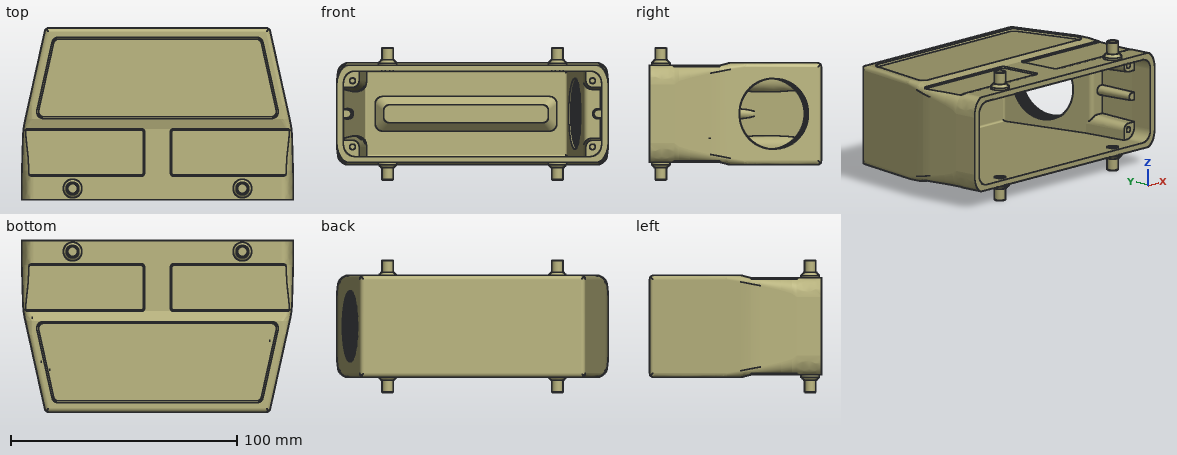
import cadquery as cq
import math

depth = 76.0
half_width = 60.0
rear_half_height = 22.6
front_half_height = 21.45
wall_side = 3.0
wall_height = 2.55
wall_rear = 3.0

straight_end = 11.0
bend_start = 27.0
bend_end = 35.6
lean_angle = 12.5
bend_start_half_width = 59.55
bend_end_half_width = 58.45
lean_slope = math.tan(math.radians(lean_angle))
bend_bulge = (bend_end - bend_start) * lean_slope / 8
rear_half_width = bend_end_half_width - (depth - bend_end) * lean_slope

step_start = 31.2
step_end = bend_end

rear_rounding = 2.0
corner_width = 5.2
corner_height = 8.5
corner_stations = [
    (straight_end, corner_width, corner_height),
    (13.0, 5.1, 7.0),
    (18.0, 4.9, 5.5),
    (bend_start, 3.3, 3.5),
    (step_start, 2.3, 2.7),
    (step_end, 4.0, 3.0),
    (41.8, rear_rounding, rear_rounding),
]
corner_arc_angles = (0, 22.5, 45, 67.5, 90)

cavity_half_width = half_width - wall_side
cavity_half_height = front_half_height - wall_height
cavity_depth = depth - wall_rear
cavity_corner = 5.2
floor_fillet = 0.9
cavity_left_rear = 47.4
cavity_right_rear = 41.7
cavity_left_bend = 29.0
shelf_y = 28.0
shelf_x = 49.5
shelf_rounding = 2.0
wall_narrowing = 0.6

bar_center_x = (cavity_right_rear - cavity_left_rear) / 2
bar_length = 80.2
bar_width = 15.3
bar_height = 4.0
bar_slope_width = 3.7
bar_corner = 3.2
bar_top_corner = 2.5

post_front = 9.5
post_x = 53.0
post_z = 14.6
post_radius = 2.9
post_draft = 3.0
rib_draft = 1.5
screw_hole_diameter = 2.5
screw_hole_depth = 12.0
rib_tip_x = 53.6
rib_half_height = 1.7

pin_x = 37.5
pin_y = 5.0
pin_radius = 2.55
pin_tip_z = 29.25
pin_chamfer = 0.4
collar_radius = 4.1
collar_rim_z = 22.4
collar_top_z = 23.8
collar_top_radius = 2.8
rivet_recess_depth = 0.5
rivet_inner_radius = 1.0

recess_wall_angle = 45.0
label_depth = 0.8
label_front = 35.9
label_rear = 71.8
label_margin = 4.3
label_corner = 3.0
grip_depth = 0.6
grip_inner_x = 5.7
grip_front = 10.4
grip_rear = 31.4
grip_corner = 1.5

entry_y = 55.0
entry_bore_radius = 15.6
entry_thread_radius = 16.3
thread_pitch = 1.5
thread_count = 5
entry_reach = 14.0

overlap = 1.0
corner_clearance = 6.0


def outer_half_width(y):
    """Half width of the outer side wall at depth y."""
    if y <= straight_end:
        return half_width
    if y <= bend_start:
        share = (y - straight_end) / (bend_start - straight_end)
        return half_width + share * (bend_start_half_width - half_width)
    if y < bend_end:
        share = (y - bend_start) / (bend_end - bend_start)
        chord = bend_start_half_width + share * (bend_end_half_width - bend_start_half_width)
        return chord + 4 * bend_bulge * share * (1 - share)
    return bend_end_half_width - (y - bend_end) * lean_slope


def outer_half_height(y):
    """Half height of the outer wall at depth y."""
    return front_half_height if y <= step_start else rear_half_height


def both_faces(solid):
    """The solid together with its mirror image below Z = 0."""
    return solid.union(solid.mirror("XY"))


def plan_outline():
    bend_mid_y = (bend_start + bend_end) / 2
    bend_mid = outer_half_width(bend_mid_y)
    return (
        cq.Workplane("XY")
        .moveTo(-half_width, 0)
        .lineTo(half_width, 0)
        .lineTo(half_width, straight_end)
        .lineTo(bend_start_half_width, bend_start)
        .threePointArc((bend_mid, bend_mid_y), (bend_end_half_width, bend_end))
        .lineTo(rear_half_width, depth)
        .lineTo(-rear_half_width, depth)
        .lineTo(-bend_end_half_width, bend_end)
        .threePointArc((-bend_mid, bend_mid_y), (-bend_start_half_width, bend_start))
        .lineTo(-half_width, straight_end)
        .close()
    )


def corner_section(y, width, height):
    """Closed wire around the space outside one rounded corner at depth y."""
    edge_x = outer_half_width(y)
    edge_z = outer_half_height(y)
    center_x = edge_x - width
    center_z = edge_z - height
    arc_points = []
    for degrees in corner_arc_angles:
        angle = math.radians(degrees)
        arc_points.append(
            cq.Vector(center_x + width * math.cos(angle), y, center_z + height * math.sin(angle))
        )
    arc = cq.Edge.makeSpline(arc_points, tangents=[cq.Vector(0, 0, 1), cq.Vector(-1, 0, 0)])
    outside_x = edge_x + corner_clearance
    outside_z = edge_z + corner_clearance
    loop = [
        cq.Vector(center_x, y, edge_z),
        cq.Vector(center_x, y, outside_z),
        cq.Vector(outside_x, y, outside_z),
        cq.Vector(outside_x, y, center_z),
        cq.Vector(edge_x, y, center_z),
    ]
    lines = [cq.Edge.makeLine(start, end) for start, end in zip(loop, loop[1:])]
    return cq.Wire.assembleEdges([arc] + lines)


def corner_cutter():
    """Everything outside one long rounded corner, from the opening to beyond the closed end."""
    first = (-overlap, corner_width, corner_height)
    last = (depth + overlap, rear_rounding, rear_rounding)
    sections = [corner_section(*station) for station in [first] + corner_stations + [last]]
    return cq.Workplane(cq.Solid.makeLoft(sections, True))


def outer_body():
    body = plan_outline().extrude(rear_half_height, both=True)
    side_profile = (
        cq.Workplane("YZ")
        .moveTo(0, 0)
        .lineTo(0, front_half_height)
        .lineTo(step_start, front_half_height)
        .lineTo(step_end, rear_half_height)
        .lineTo(depth, rear_half_height)
        .lineTo(depth, 0)
        .close()
        .extrude(half_width, both=True)
    )
    body = body.intersect(both_faces(side_profile))
    body = body.faces(">Y").edges().fillet(rear_rounding)
    corner = both_faces(corner_cutter())
    return body.cut(corner).cut(corner.mirror("YZ"))


def cavity():
    plan = (
        cq.Workplane("XY")
        .moveTo(-cavity_half_width, 0)
        .lineTo(cavity_half_width, 0)
        .lineTo(cavity_half_width, straight_end)
        .lineTo(cavity_half_width - wall_narrowing, shelf_y)
        .lineTo(shelf_x, shelf_y)
        .lineTo(cavity_right_rear, cavity_depth)
        .lineTo(-cavity_left_rear, cavity_depth)
        .lineTo(-cavity_half_width + wall_narrowing, cavity_left_bend)
        .lineTo(-cavity_half_width, straight_end)
        .close()
        .extrude(cavity_half_height, both=True)
        .edges(cq.selectors.NearestToPointSelector((shelf_x, shelf_y, 0)))
        .fillet(shelf_rounding)
        .faces(">Y")
        .edges()
        .fillet(floor_fillet)
    )
    envelope = (
        cq.Workplane("XZ")
        .rect(2 * cavity_half_width, 2 * cavity_half_height)
        .extrude(-depth)
        .edges("|Y")
        .fillet(cavity_corner)
    )
    return plan.intersect(envelope)


def floor_bar():
    base = cq.Sketch().rect(bar_length, bar_width).vertices().fillet(bar_corner)
    top_length = bar_length - 2 * bar_slope_width
    top_width = bar_width - 2 * bar_slope_width
    top = cq.Sketch().rect(top_length, top_width).vertices().fillet(bar_top_corner)
    top = top.moved(cq.Location(cq.Vector(0, 0, bar_height)))
    plane = cq.Workplane("XZ", origin=(bar_center_x, cavity_depth, 0))
    return plane.placeSketch(base, top).loft()


def posts_and_ribs():
    length = depth - post_front
    inner = post_x - post_radius
    low = post_z - post_radius
    post = (
        cq.Workplane("XZ", origin=(0, post_front, 0))
        .moveTo(inner, cavity_half_height + overlap)
        .lineTo(inner, post_z)
        .radiusArc((post_x, low), -post_radius)
        .lineTo(half_width - overlap, low)
        .lineTo(half_width - overlap, cavity_half_height + overlap)
        .close()
        .extrude(-length, taper=-post_draft)
    )
    rib_straight = rib_tip_x + rib_half_height
    rib = (
        cq.Workplane("XZ", origin=(0, post_front, 0))
        .moveTo(half_width - overlap, -rib_half_height)
        .lineTo(rib_straight, -rib_half_height)
        .threePointArc((rib_tip_x, 0), (rib_straight, rib_half_height))
        .lineTo(half_width - overlap, rib_half_height)
        .close()
        .extrude(-length, taper=-rib_draft)
    )
    one_side = both_faces(post).union(rib)
    return one_side.union(one_side.mirror("YZ"))


def screw_holes():
    return (
        cq.Workplane("XZ", origin=(0, post_front, 0))
        .rect(2 * post_x, 2 * post_z, forConstruction=True)
        .vertices()
        .circle(screw_hole_diameter / 2)
        .extrude(-screw_hole_depth)
    )


def locking_pin(x):
    pin = (
        cq.Workplane("XZ")
        .moveTo(0, cavity_half_height + overlap)
        .lineTo(collar_radius, cavity_half_height + overlap)
        .lineTo(collar_radius, collar_rim_z)
        .lineTo(collar_top_radius, collar_top_z)
        .lineTo(pin_radius, collar_top_z)
        .lineTo(pin_radius, pin_tip_z - pin_chamfer)
        .lineTo(pin_radius - pin_chamfer, pin_tip_z)
        .lineTo(0, pin_tip_z)
        .close()
        .revolve(360, (0, 0, 0), (0, 1, 0))
    )
    return both_faces(pin.translate((x, pin_y, 0)))


def rivet_recess(x):
    ring = (
        cq.Workplane("XY", origin=(x, pin_y, cavity_half_height))
        .circle(pin_radius)
        .circle(rivet_inner_radius)
        .extrude(rivet_recess_depth)
    )
    return both_faces(ring)


def recess(outline_points, corner, top_z, recess_depth):
    """Tool for a panel recess sunk below top_z, with sloping side walls."""
    sketch = cq.Workplane("XY", origin=(0, 0, top_z)).polyline(outline_points).close()
    prism = sketch.extrude(-recess_depth).edges("|Z").fillet(corner)
    outline = prism.faces(">Z").wires().toPending()
    return outline.extrude(-recess_depth, combine=False, taper=recess_wall_angle)


def label_recess():
    front_x = outer_half_width(label_front) - label_margin
    rear_x = outer_half_width(label_rear) - label_margin
    points = [
        (-front_x, label_front),
        (front_x, label_front),
        (rear_x, label_rear),
        (-rear_x, label_rear),
    ]
    return both_faces(recess(points, label_corner, rear_half_height, label_depth))


def grip_recess():
    beyond = half_width + grip_corner + 2 * overlap
    points = [
        (grip_inner_x, grip_front),
        (beyond, grip_front),
        (beyond, grip_rear),
        (grip_inner_x, grip_rear),
    ]
    one_side = both_faces(recess(points, grip_corner, front_half_height, grip_depth))
    return one_side.union(one_side.mirror("YZ"))


def cable_entry():
    """Bore with ring-shaped thread grooves, square to the leaning wall."""
    lean = math.radians(lean_angle)
    axis = cq.Plane(
        origin=(outer_half_width(entry_y), entry_y, 0),
        xDir=(0, 0, 1),
        normal=(-math.cos(lean), -math.sin(lean), 0),
    )
    entry = cq.Workplane(axis).circle(entry_bore_radius).extrude(entry_reach, both=True)
    for index in range(thread_count):
        groove = (
            cq.Workplane(axis)
            .workplane(offset=(index + 0.5) * thread_pitch)
            .circle(entry_thread_radius)
            .extrude(thread_pitch / 2)
        )
        entry = entry.union(groove)
    return entry


hollow = cavity().cut(posts_and_ribs()).cut(floor_bar())
body = outer_body().cut(hollow)
body = body.cut(label_recess()).cut(grip_recess()).cut(screw_holes()).cut(cable_entry())
for x in (-pin_x, pin_x):
    body = body.union(locking_pin(x)).cut(rivet_recess(x))

result = body